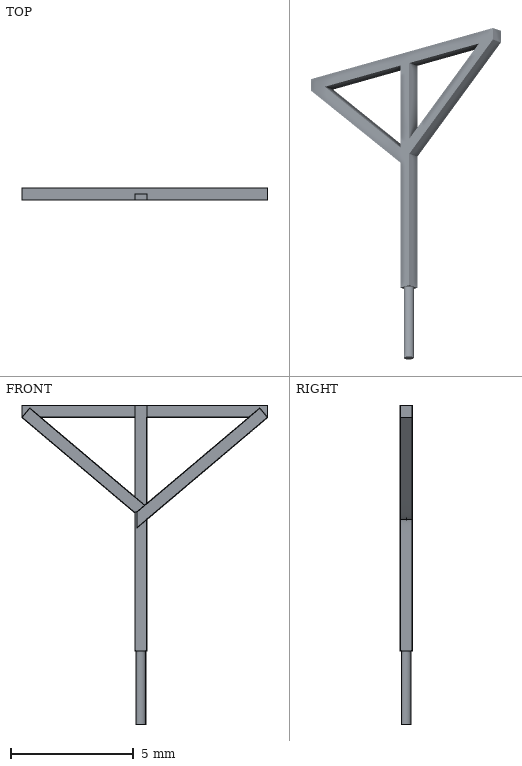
import cadquery as cq
import math

total_height = 13.0
bar_length = 10.0
stock = 0.5
pin_diameter = 0.4
pin_length = 3.0
post_center_x = -0.15
brace_angle = 40.2
brace_stop_gap = 0.08

bar_bottom = total_height - stock
post_left = post_center_x - stock / 2
post_right = post_center_x + stock / 2
brace_slope = math.radians(brace_angle)
lap_depth = stock / 2


def box_between(x_range, y_range, z_range):
    """Box filling the given ranges along X, Y and Z."""
    size = [high - low for low, high in (x_range, y_range, z_range)]
    corner = (x_range[0], y_range[0], z_range[0])
    return cq.Workplane("XY").box(*size, centered=False).translate(corner)


def front_prism(points):
    """Prism through the full stock depth from an outline in X and Z."""
    return cq.Workplane("XZ").polyline(points).close().extrude(stock / 2, both=True)


full_depth = (-stock / 2, stock / 2)
front_half = (-stock / 2, -stock / 2 + lap_depth)
rear_half = (front_half[1], stock / 2)


def make_brace(side, end_x):
    """Brace from the lower bar corner on one side (-1 left, 1 right) down to a vertical end."""
    lower_x = side * bar_length / 2
    upper_x = lower_x - side * stock * math.sin(brace_slope)
    upper_z = bar_bottom + stock * math.cos(brace_slope)
    lower_end_z = bar_bottom - abs(end_x - lower_x) * math.tan(brace_slope)
    upper_end_z = lower_end_z + stock / math.cos(brace_slope)
    return front_prism([
        (lower_x, bar_bottom),
        (upper_x, upper_z),
        (end_x, upper_end_z),
        (end_x, lower_end_z),
    ])


behind_lap = box_between((post_left, post_right), rear_half, (pin_length, bar_bottom))
right_brace = make_brace(1, post_left + brace_stop_gap).cut(behind_lap)

right_top_at_stop = (
    bar_bottom
    - (bar_length / 2 - post_left - brace_stop_gap) * math.tan(brace_slope)
    + stock / math.cos(brace_slope)
)
right_top_at_post_right = right_top_at_stop + (stock - brace_stop_gap) * math.tan(brace_slope)
below_right_top = front_prism([
    (post_left, pin_length),
    (post_left, right_top_at_stop),
    (post_left + brace_stop_gap, right_top_at_stop),
    (post_right, right_top_at_post_right),
    (post_right, pin_length),
])
left_brace = make_brace(-1, post_right).cut(behind_lap).cut(below_right_top)

post = (
    box_between((post_left, post_right), full_depth, (pin_length, total_height))
    .cut(box_between((post_left, post_right), rear_half, (bar_bottom, total_height)))
    .cut(left_brace)
    .cut(right_brace)
)

crossbar = (
    box_between((-bar_length / 2, bar_length / 2), full_depth, (bar_bottom, total_height))
    .cut(post)
    .cut(left_brace)
    .cut(right_brace)
)

pin = cq.Workplane("XY").center(post_center_x, 0).circle(pin_diameter / 2).extrude(pin_length)

result = cq.Compound.makeCompound([
    crossbar.val(),
    post.val(),
    left_brace.val(),
    right_brace.val(),
    pin.val(),
])